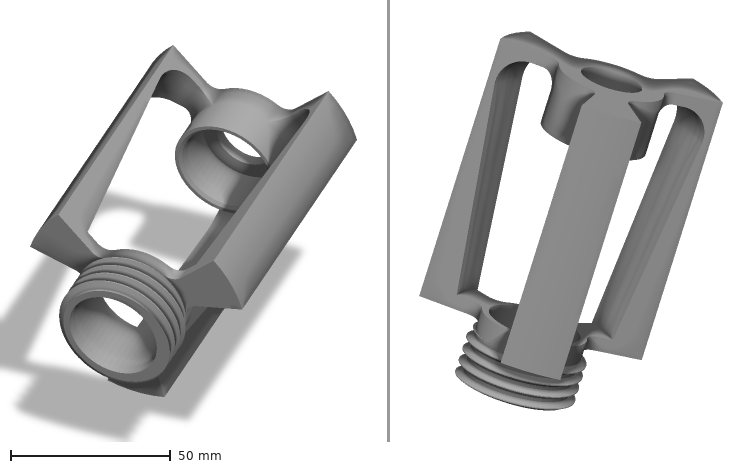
import cadquery as cq
import math

total_length = 105.5

thread_end = 15.2
arm_start = 17.5
slot_start = 22.0
cup_start = 85.6
slot_end = 101.6

ring_radius = 34.4 / 2
bore_radius = 30.0 / 2
outlet_radius = 20.0 / 2
cup_floor = slot_end
mouth_chamfer = 1.0

arm_count = 3
first_arm_angle = 30.0
arm_half_angle = 15.0
arm_outer_radius = 37.7
fillet_radius = 5.0

slot_start_radius = 26.4
slot_max_radius = 35.1
slot_corner_radius = 9.5

thread_root_radius = 34.2 / 2
thread_crest_radius = 38.7 / 2
thread_pitch = 4.0
thread_base_width = 3.2
thread_crest_width = 0.3
thread_overlap = 0.3
thread_start_offset = -thread_pitch


def cylinder(radius, y_start, y_end):
    """Solid cylinder on the Y axis."""
    base = cq.Workplane("XZ", origin=(0, y_start, 0))
    return base.circle(radius).extrude(y_start - y_end)


def polar(radius, angle):
    """Point in a cross-section, with the angle in degrees."""
    return (radius * math.cos(math.radians(angle)), radius * math.sin(math.radians(angle)))


def make_arm(direction):
    """Wedge with radial sides, blended into the ring by concave fillets."""
    center_radius = ring_radius + fillet_radius
    fillet_offset = math.degrees(math.asin(fillet_radius / center_radius))
    side_radius = math.sqrt(center_radius**2 - fillet_radius**2)

    def fillet_points(side):
        edge_angle = direction + side * arm_half_angle
        center_angle = edge_angle + side * fillet_offset
        center = polar(center_radius, center_angle)
        on_ring = polar(ring_radius, center_angle)
        on_side = polar(side_radius, edge_angle)
        toward_middle = math.radians(edge_angle - side * (135 - fillet_offset / 2))
        middle = (
            center[0] + fillet_radius * math.cos(toward_middle),
            center[1] + fillet_radius * math.sin(toward_middle),
        )
        return on_ring, middle, on_side

    low_ring, low_middle, low_side = fillet_points(-1)
    high_ring, high_middle, high_side = fillet_points(1)
    return (
        cq.Workplane("XZ", origin=(0, arm_start, 0))
        .moveTo(0, 0)
        .lineTo(*low_ring)
        .threePointArc(low_middle, low_side)
        .lineTo(*polar(arm_outer_radius, direction - arm_half_angle))
        .threePointArc(
            polar(arm_outer_radius, direction),
            polar(arm_outer_radius, direction + arm_half_angle),
        )
        .lineTo(*high_side)
        .threePointArc(high_middle, high_ring)
        .close()
        .extrude(arm_start - total_length)
    )


def make_slot():
    """Revolved clearance: tapered outside, rounded at both corners of its far end."""
    corner_x = slot_max_radius - slot_corner_radius
    corner_y = slot_end - slot_corner_radius
    run_x = corner_x - slot_start_radius
    run_y = corner_y - slot_start
    reach = math.hypot(run_x, run_y)
    tangent_angle = math.atan2(-run_y, -run_x) + math.acos(slot_corner_radius / reach)

    def corner_point(angle):
        return (
            corner_x + slot_corner_radius * math.cos(angle),
            corner_y + slot_corner_radius * math.sin(angle),
        )

    inner_x = ring_radius + fillet_radius
    inner_y = slot_end - fillet_radius
    diagonal = fillet_radius * math.sqrt(0.5)
    return (
        cq.Workplane("XY")
        .moveTo(ring_radius, slot_start)
        .lineTo(slot_start_radius, slot_start)
        .lineTo(*corner_point(tangent_angle))
        .threePointArc(corner_point(math.pi / 4), (corner_x, slot_end))
        .lineTo(inner_x, slot_end)
        .threePointArc((inner_x - diagonal, inner_y + diagonal), (ring_radius, inner_y))
        .close()
        .revolve(360, (0, 0, 0), (0, 1, 0))
    )


def make_thread():
    """Hollow core with a right-handed helical ridge, trimmed flat at both ends."""
    half_base = thread_base_width / 2
    half_crest = thread_crest_width / 2
    helix_length = thread_end + 2 * thread_pitch
    path = cq.Wire.makeHelix(thread_pitch, helix_length, thread_root_radius)
    ridge = (
        cq.Workplane("XZ")
        .moveTo(thread_root_radius - thread_overlap, -half_base)
        .lineTo(thread_crest_radius, -half_crest)
        .lineTo(thread_crest_radius, half_crest)
        .lineTo(thread_root_radius - thread_overlap, half_base)
        .close()
        .sweep(cq.Workplane(path), isFrenet=True)
        .rotate((0, 0, 0), (1, 0, 0), -90)
        .translate((0, thread_start_offset, 0))
    )
    core = cylinder(thread_root_radius, -2 * thread_pitch, helix_length)
    blank = cylinder(arm_outer_radius, 0, thread_end)
    return core.union(ridge).intersect(blank).cut(cylinder(bore_radius, 0, thread_end))


def make_mouth():
    """Conical lead-in at the open end of the cup."""
    base = cq.Workplane("XZ", origin=(0, cup_start, 0)).circle(bore_radius + mouth_chamfer)
    return base.workplane(offset=-mouth_chamfer).circle(bore_radius).loft()


arms = make_arm(first_arm_angle)
for index in range(1, arm_count):
    arms = arms.union(make_arm(first_arm_angle + index * 360 / arm_count))
arms = arms.cut(make_slot()).cut(cylinder(ring_radius, slot_start, cup_start))

front_ring = cylinder(ring_radius, thread_end, slot_start)
cup = cylinder(ring_radius, cup_start, total_length)
body = arms.union(front_ring).union(cup)

front_bore = cylinder(bore_radius, thread_end, slot_start)
cup_bore = cylinder(bore_radius, cup_start, cup_floor)
outlet = cylinder(outlet_radius, cup_floor, total_length)
body = body.cut(front_bore).cut(cup_bore).cut(make_mouth()).cut(outlet)

result = body.union(make_thread())